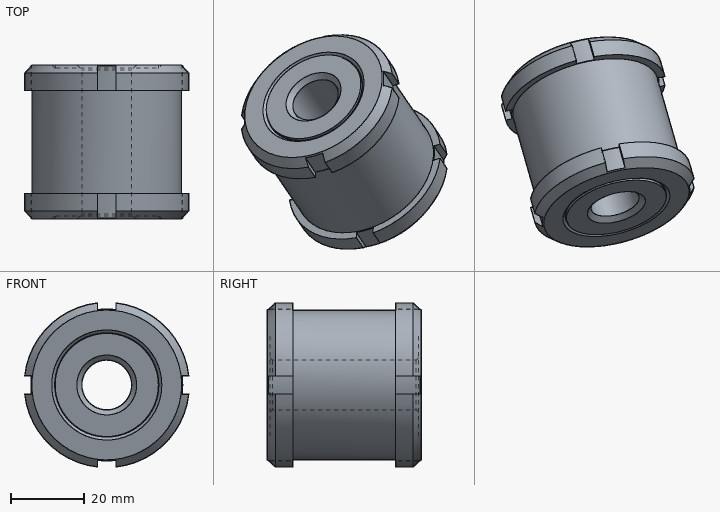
import cadquery as cq

length = 42.0
half_length = length / 2

sleeve_radius = 40.8 / 2
collar_radius = 45.0 / 2
collar_width = 7.0
collar_chamfer_width = 2.25

slot_count = 4
slot_width = 5.0
slot_floor_radius = 20.7

bore_radius = 13.5 / 2
bore_chamfer = 1.4

core_radius = 28.1 / 2
groove_floor_radius = 28.38 / 2
groove_mouth_radius = 30.0 / 2
groove_depth = groove_mouth_radius - groove_floor_radius


def revolve_about_axis(points):
    """Turn a closed (radius, Y) outline around the Y axis."""
    return cq.Workplane("XY").polyline(points).close().revolve(360, (0, 0, 0), (0, 1, 0))


def make_body():
    """Sleeve, end collars and chamfered bore as one turned body."""
    collar_inner_y = half_length - collar_width
    rear_points = [
        (sleeve_radius, collar_inner_y),
        (collar_radius, collar_inner_y),
        (collar_radius, half_length - collar_chamfer_width),
        (sleeve_radius, half_length),
        (bore_radius + bore_chamfer, half_length),
        (bore_radius, half_length - bore_chamfer),
    ]
    front_points = [(radius, -y) for radius, y in reversed(rear_points)]
    return revolve_about_axis(rear_points + front_points)


def make_face_groove():
    """Ring groove with a straight inner wall and a 45 degree outer wall."""
    floor_y = groove_depth - half_length
    return revolve_about_axis([
        (core_radius, -half_length),
        (groove_mouth_radius, -half_length),
        (groove_floor_radius, floor_y),
        (core_radius, floor_y),
    ])


def make_slots():
    """Spanner slots along the whole length, with a round floor about the axis."""
    blade_height = 2 * collar_radius
    slots = cq.Workplane("XY")
    for index in range(slot_count):
        blade = cq.Workplane("XY").box(slot_width, length, blade_height, centered=(True, True, False))
        slots = slots.add(blade.rotate((0, 0, 0), (0, 1, 0), index * 360 / slot_count))
    floor = cq.Workplane("XZ").circle(slot_floor_radius).extrude(half_length, both=True)
    return slots.combine().cut(floor)


front_groove = make_face_groove()
rear_groove = front_groove.mirror("XZ")
result = make_body().cut(front_groove).cut(rear_groove).cut(make_slots())